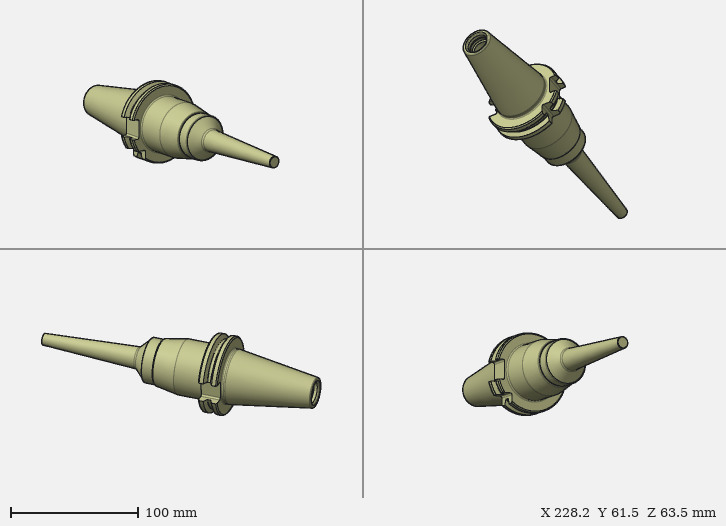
import cadquery as cq
import math


TOTAL_LENGTH = 228.25
NOSE_END_X = 160.0
SHANK_END_X = NOSE_END_X - TOTAL_LENGTH
TAPER_END_X = -0.3
GAUGE_R = 44.45 / 2
TAPER_SLOPE = 7 / 24 / 2
SHANK_END_ROUND = 0.9

NECK_R = 22.0
NECK_X = 1.0
NECK_FILLET = 0.7

FLANGE_R = 63.55 / 2
FLANGE_X0 = 3.2
FLANGE_X1 = 19.0
FLANGE_CHAMFER = 1.0
GROOVE_X = 11.1
GROOVE_WIDTH = 7.0
GROOVE_BOTTOM_R = 56.25 / 2
GROOVE_FLANK_ANGLE = math.radians(30)
GROOVE_FILLET = 0.4

BODY_R = 22.5
BODY_FILLET = 1.0
BODY_CONE_X0 = 42.5
BODY_CONE_R1 = 19.1
BODY_EDGE_ROUND = 0.5

COLLAR_R = 18.3
COLLAR_X0 = 61.5
COLLAR_X1 = 71.4
COLLAR_ROUND = 0.6
PARTING_CHAMFER = 0.6
PARTING_GROOVE_R = COLLAR_R - PARTING_CHAMFER

NOSE_HALF_ANGLE = math.radians(3)
NOSE_TIP_R = 4.75
NOSE_TIP_CHAMFER = 0.4
NOSE_BLEND_R = 2.5
SHOULDER_START_R = 17.5

SLOT_WIDTH = 16.1
SLOT_FLOOR_FRONT = 25.0
SLOT_FLOOR_BACK = 22.8
NOTCH_EDGE = 18.2
CUT_FILLET = 1.4

MOUTH_R = 9.9
MOUTH_CHAMFER = 0.7
PILOT_R = 8.5
PILOT_LEAD_IN = 1.9
PILOT_DEPTH = 5.1
THREAD_MAJOR_R = 8.0
THREAD_MINOR_R = 6.9
THREAD_X = 7.5
DRILL_DEPTH = 32.0
DRILL_HALF_ANGLE = math.radians(59)


def taper_radius(x):
    """Radius of the shank taper at position x."""
    return GAUGE_R + x * TAPER_SLOPE


def nose_radius(x):
    """Radius of the slim nose taper at position x."""
    return NOSE_TIP_R + (NOSE_END_X - x) * math.tan(NOSE_HALF_ANGLE)


def shoulder_foot():
    """Point where the 45 degree shoulder meets the nose taper."""
    drop = (SHOULDER_START_R - nose_radius(COLLAR_X1)) / (1 - math.tan(NOSE_HALF_ANGLE))
    return COLLAR_X1 + drop, SHOULDER_START_R - drop


def corner_arc(before, corner, after, radius):
    """Start, middle and end of the arc of given radius that rounds a corner of an outline."""
    corner = cq.Vector(*corner)
    to_before = (cq.Vector(*before) - corner).normalized()
    to_after = (cq.Vector(*after) - corner).normalized()
    half_angle = to_before.getAngle(to_after) / 2
    setback = radius / math.tan(half_angle)
    middle_distance = radius / math.sin(half_angle) - radius
    inward = (to_before + to_after).normalized()
    return corner + to_before * setback, corner + inward * middle_distance, corner + to_after * setback


def revolve_outline(points, origin_x=0):
    """Revolve (x, r) points about X; a third value in a point is the radius that rounds it."""
    corners = [point[:2] for point in points]
    outline = cq.Workplane("XY", origin=(origin_x, 0, 0)).moveTo(*corners[0])
    for index in range(1, len(points)):
        if len(points[index]) == 2:
            outline = outline.lineTo(*corners[index])
        else:
            radius = points[index][2]
            start, middle, end = corner_arc(*corners[index - 1:index + 2], radius)
            outline = outline.lineTo(start.x, start.y)
            outline = outline.threePointArc((middle.x, middle.y), (end.x, end.y))
    return outline.close().revolve(360, (0, 0, 0), (1, 0, 0))


def make_turned_body():
    groove_x0 = GROOVE_X - GROOVE_WIDTH / 2
    groove_x1 = GROOVE_X + GROOVE_WIDTH / 2
    flank_length = (FLANGE_R - GROOVE_BOTTOM_R) * math.tan(GROOVE_FLANK_ANGLE)
    tip_chamfer_x = NOSE_END_X - NOSE_TIP_CHAMFER
    shank = [
        (SHANK_END_X, 0),
        (SHANK_END_X, taper_radius(SHANK_END_X), SHANK_END_ROUND),
        (TAPER_END_X, taper_radius(TAPER_END_X)),
        (NECK_X, NECK_R),
        (FLANGE_X0, NECK_R, NECK_FILLET),
    ]
    flange = [
        (FLANGE_X0, FLANGE_R - FLANGE_CHAMFER),
        (FLANGE_X0 + FLANGE_CHAMFER, FLANGE_R),
        (groove_x0, FLANGE_R),
        (groove_x0 + flank_length, GROOVE_BOTTOM_R, GROOVE_FILLET),
        (groove_x1 - flank_length, GROOVE_BOTTOM_R, GROOVE_FILLET),
        (groove_x1, FLANGE_R),
        (FLANGE_X1 - FLANGE_CHAMFER, FLANGE_R),
        (FLANGE_X1, FLANGE_R - FLANGE_CHAMFER),
    ]
    body = [
        (FLANGE_X1, BODY_R, BODY_FILLET),
        (BODY_CONE_X0, BODY_R),
        (COLLAR_X0, BODY_CONE_R1, BODY_EDGE_ROUND),
        (COLLAR_X0, PARTING_GROOVE_R),
    ]
    collar = [
        (COLLAR_X0 + PARTING_CHAMFER, COLLAR_R),
        (COLLAR_X1, COLLAR_R, COLLAR_ROUND),
        (COLLAR_X1, SHOULDER_START_R),
    ]
    nose = [
        (*shoulder_foot(), NOSE_BLEND_R),
        (tip_chamfer_x, nose_radius(tip_chamfer_x)),
        (NOSE_END_X, NOSE_TIP_R - NOSE_TIP_CHAMFER),
        (NOSE_END_X, 0),
    ]
    return revolve_outline(shank + flange + body + collar + nose)


def make_bore():
    """Bore solid; its outline is measured inwards from the shank end."""
    pilot_step = PILOT_R - THREAD_MAJOR_R
    thread_step = THREAD_MAJOR_R - THREAD_MINOR_R
    drill_tip = THREAD_MINOR_R / math.tan(DRILL_HALF_ANGLE)
    outline = [
        (0, 0),
        (0, MOUTH_R),
        (MOUTH_CHAMFER, MOUTH_R - MOUTH_CHAMFER),
        (PILOT_LEAD_IN, PILOT_R),
        (PILOT_DEPTH - pilot_step, PILOT_R),
        (PILOT_DEPTH, THREAD_MAJOR_R),
        (THREAD_X, THREAD_MAJOR_R),
        (THREAD_X + thread_step, THREAD_MINOR_R),
        (DRILL_DEPTH, THREAD_MINOR_R),
        (DRILL_DEPTH + drill_tip, 0),
    ]
    return revolve_outline(outline, SHANK_END_X)


def make_flange_cut(y_low, y_high, z_low, z_high, rounded_edges):
    """Box across the flange and its foot fillet, with the chosen inner edges rounded."""
    length = FLANGE_X1 + BODY_FILLET - FLANGE_X0
    return (
        cq.Workplane("XY")
        .box(length, y_high - y_low, z_high - z_low, centered=False)
        .translate((FLANGE_X0, y_low, z_low))
        .edges(rounded_edges)
        .fillet(CUT_FILLET)
    )


def make_flange_cuts():
    half = SLOT_WIDTH / 2
    front_slot = make_flange_cut(-FLANGE_R, -SLOT_FLOOR_FRONT, -half, half, "|X and >Y")
    back_slot = make_flange_cut(SLOT_FLOOR_BACK, FLANGE_R, -half, half, "|X and <Y")
    notch = make_flange_cut(-FLANGE_R, -NOTCH_EDGE, -FLANGE_R, -NOTCH_EDGE, "|X and >Y and >Z")
    return front_slot.union(back_slot).union(notch)


result = make_turned_body().cut(make_bore()).cut(make_flange_cuts())